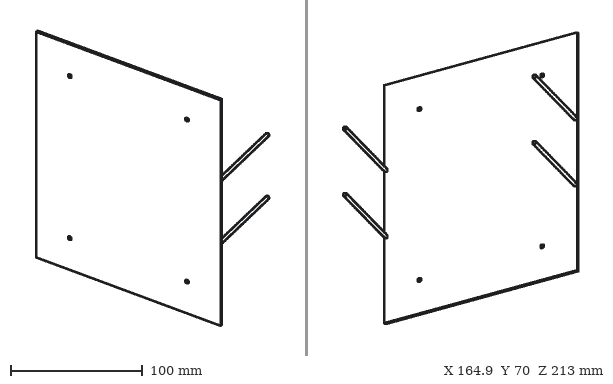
import cadquery as cq

plate_width = 164.9
plate_height = 213.0
plate_thickness = 2.0

hole_diameter = 3.1
hole_inset = 30.0

total_depth = 70.0
rod_diameter = 3.0
rod_spacing_z = 59.3
rod_spacing_x = plate_width - rod_diameter


def symmetric_points(spacing_x, spacing_z):
    """Four points in X and Z, mirrored about the plate's centre."""
    return [
        (side_x * spacing_x / 2, side_z * spacing_z / 2)
        for side_x in (-1, 1)
        for side_z in (-1, 1)
    ]


def cylinders_along_y(points, diameter, length):
    """Round bars that start at the plate's front face and run toward +Y."""
    return cq.Workplane("XZ").pushPoints(points).circle(diameter / 2).extrude(-length)


def make_plate():
    blank = cq.Workplane("XZ").rect(plate_width, plate_height).extrude(-plate_thickness)
    hole_points = symmetric_points(plate_width - 2 * hole_inset, plate_height - 2 * hole_inset)
    return blank.cut(cylinders_along_y(hole_points, hole_diameter, plate_thickness))


def make_rods():
    rod_points = symmetric_points(rod_spacing_x, rod_spacing_z)
    return cylinders_along_y(rod_points, rod_diameter, total_depth)


result = make_plate().union(make_rods())